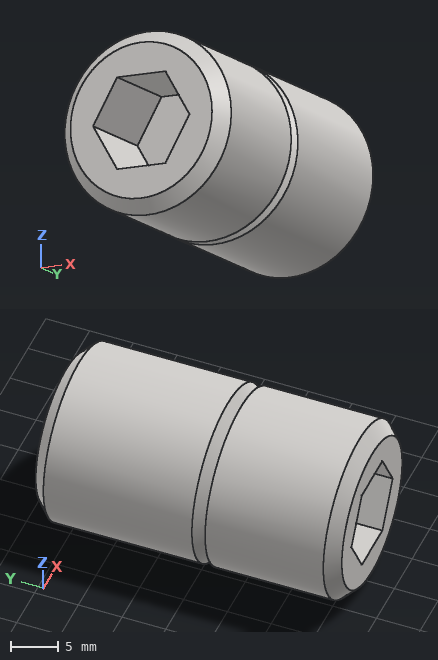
import cadquery as cq
import math

diameter = 20.0
total_length = 35.0
rear_length = 20.0
front_length = total_length - rear_length
chamfer = 1.5

socket_across_flats = 10.0
socket_across_corners = socket_across_flats / math.cos(math.radians(30))
socket_depth = 10.0


def cylinder_along_y(start_y, length):
    """Solid cylinder on the Y axis from start_y toward +Y."""
    base = cq.Workplane("XZ", origin=(0, start_y, 0))
    return base.circle(diameter / 2).extrude(-length)


def make_rear_plug():
    """Plain plug, chamfered at both ends."""
    return cylinder_along_y(0, rear_length).faces("<Y or >Y").chamfer(chamfer)


def make_socket_screw():
    """Screw body with a chamfered outer end, a square inner end and a hexagonal socket."""
    body = cylinder_along_y(-front_length, front_length).faces("<Y").chamfer(chamfer)
    socket = (
        cq.Workplane("XZ", origin=(0, -front_length, 0))
        .polygon(6, socket_across_corners)
        .extrude(-socket_depth)
    )
    return body.cut(socket)


rear_plug = make_rear_plug()
socket_screw = make_socket_screw()

result = cq.Compound.makeCompound([rear_plug.val(), socket_screw.val()])